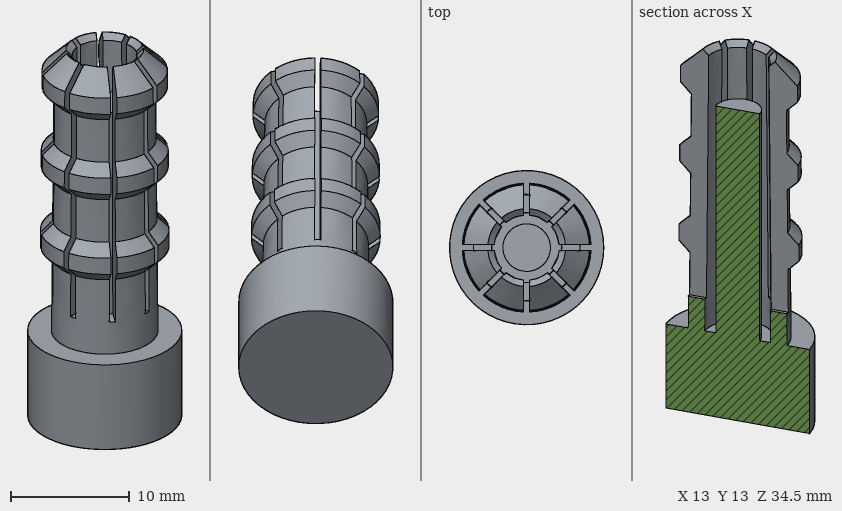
import cadquery as cq
import math

total_height = 34.48
collar_diameter = 13.0
collar_height = 8.0

draft = math.tan(math.radians(0.5))
stem_base_diameter = 9.0
stem_base_radius = stem_base_diameter / 2
bore_floor_radius = 2.95
bore_floor_z = collar_height

ridge_count = 3
first_ridge_z = 15.0
ridge_pitch = 7.5
ridge_height = 1.0
crest_length = 1.5

tip_radius = 3.28
lead_in_depth = 0.5

slot_count = 8
slot_width = 0.5
slot_floor_z = 11.0

pin_diameter = 4.0
pin_top_z = 29.48


def stem_radius(z):
    return stem_base_radius - draft * (z - collar_height)


def bore_radius(z):
    return bore_floor_radius - draft * (z - bore_floor_z)


def ridge_profile(root_z):
    """Lower flank and crest of a ridge, as (radius, z) points from the bottom up."""
    crest_start = root_z + ridge_height
    crest_end = crest_start + crest_length
    return [
        (stem_radius(root_z), root_z),
        (stem_radius(crest_start) + ridge_height, crest_start),
        (stem_radius(crest_end) + ridge_height, crest_end),
    ]


def make_stem():
    """Ridged hollow stem, revolved about Z and solid up to the bore floor."""
    outline = [(0, 0), (stem_base_radius, 0), (stem_base_radius, collar_height)]
    for index in range(ridge_count):
        root_z = first_ridge_z + index * ridge_pitch
        outline += ridge_profile(root_z)
        if index < ridge_count - 1:
            ridge_end = root_z + 2 * ridge_height + crest_length
            outline.append((stem_radius(ridge_end), ridge_end))

    throat_z = total_height - lead_in_depth
    outline += [
        (tip_radius, total_height),
        (bore_radius(throat_z), throat_z),
        (bore_floor_radius, bore_floor_z),
        (0, bore_floor_z),
    ]
    return cq.Workplane("XZ").polyline(outline).close().revolve(360, (0, 0, 0), (0, 1, 0))


def make_slots():
    """Radial blades crossing the full stem; each one cuts two opposite slots."""
    blades = cq.Workplane("XY")
    for index in range(slot_count // 2):
        blade = (
            cq.Workplane("XY", origin=(0, 0, slot_floor_z))
            .rect(collar_diameter, slot_width)
            .extrude(total_height - slot_floor_z)
            .rotate((0, 0, 0), (0, 0, 1), index * 360 / slot_count)
        )
        blades = blades.add(blade)
    return blades.combine()


collar = cq.Workplane("XY").circle(collar_diameter / 2).extrude(collar_height)
pin = cq.Workplane("XY").circle(pin_diameter / 2).extrude(pin_top_z)

result = make_stem().cut(make_slots()).union(collar).union(pin)